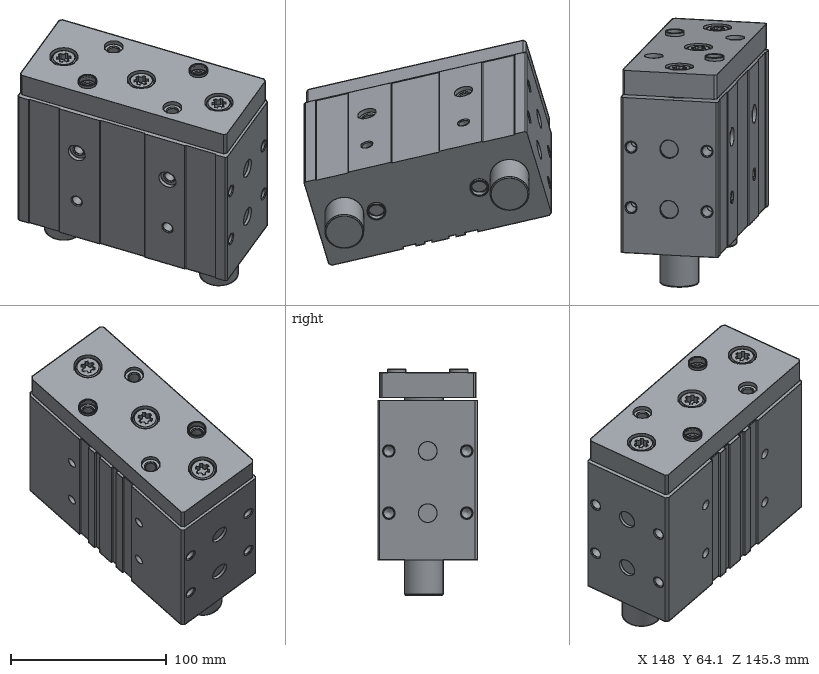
import cadquery as cq
import math

LENGTH = 148.0
DEPTH = 64.1
HOUSING_HEIGHT = 102.5
FRONT_CHAMFER = 1.0
REAR_CHAMFER = 1.8
FRONT_RECESS_DEPTH = 0.6
FRONT_RECESS_INNER_X = 44.3
FRONT_RECESS_OUTER_X = 66.3
MIDDLE_RECESS_HALF_WIDTH = 16.1
REAR_RECESS_DEPTH = 1.5
SENSOR_SLOT_X = 8.0
SENSOR_SLOT_WIDTH = 4.7
REAR_CHANNEL_X = 20.5
REAR_CHANNEL_WIDTH = 8.5
FRONT = -DEPTH / 2
REAR = DEPTH / 2

PLATE_LENGTH = 146.1
PLATE_DEPTH = 62.0
PLATE_THICKNESS = 16.0
PLATE_CHAMFER = 1.6
PLATE_GAP = 1.8
PLATE_BOTTOM = HOUSING_HEIGHT + PLATE_GAP
PLATE_TOP = PLATE_BOTTOM + PLATE_THICKNESS
PISTON_ROD_DIAMETER = 14.7
PISTON_ROD_ENGAGEMENT = 74.0
PISTON_ROD_END = HOUSING_HEIGHT - PISTON_ROD_ENGAGEMENT

ROD_DIAMETER = 25.0
ROD_X = 54.9
ROD_Y = -2.5
ROD_PROTRUSION = 22.8
ROD_CHAMFER = 0.7

CORE_DIAMETER = 6.7
MOUTH_DIAMETER = 8.0
MOUTH_CHAMFER = (MOUTH_DIAMETER - CORE_DIAMETER) / 2
LOWER_HOLE_Z = 30.0
HOLE_SPACING_Z = 40.0
UPPER_HOLE_Z = LOWER_HOLE_Z + HOLE_SPACING_Z
FRONT_HOLE_X = 32.1
SIDE_HOLE_Y = 25.0
SIDE_HOLE_DEPTH = 14.8
DRILL_POINT_ANGLE = 118.0
PLATE_HOLE_X = 30.0
PLATE_HOLE_Y = 20.0
PORT_DIAMETER = 12.0
PORT_DEPTH = 2.0

SLEEVE_DIAMETER = 12.0
SLEEVE_BORE = 10.4
SLEEVE_PROTRUSION = 2.2
SLEEVE_RECESS = 2.8
SLEEVE_HEIGHT = SLEEVE_PROTRUSION + SLEEVE_RECESS
SLEEVE_CHAMFER = 0.3
BOTTOM_SLEEVE_X = 34.2

HEAD_RECESS_DIAMETER = 18.0
HEAD_RECESS_DEPTH = 5.9
HEAD_DIAMETER = 16.0
HEAD_SINK = 0.7
HEAD_CHAMFER = 0.9
HEAD_TOP = PLATE_TOP - HEAD_SINK
HEAD_FLOOR = PLATE_TOP - HEAD_RECESS_DEPTH
STAR_LOBES = 6
STAR_TIP_RADIUS = 4.6
STAR_ROOT_RADIUS = 3.3
STAR_TIP_HALF_ANGLE = 12.0
STAR_DEPTH = 4.5


def cylinder(x, y, bottom, diameter, height):
    return cq.Workplane("XY", origin=(x, y, bottom)).circle(diameter / 2).extrude(height)


def threaded_hole(depth, pointed=False):
    """Cutter along +Z from the origin: chamfered mouth, core bore, optional drill point."""
    core = CORE_DIAMETER / 2
    mouth = MOUTH_DIAMETER / 2
    tip = core / math.tan(math.radians(DRILL_POINT_ANGLE / 2)) if pointed else 0
    profile = cq.Workplane("XZ").lineTo(mouth, 0).lineTo(core, MOUTH_CHAMFER).lineTo(core, depth)
    return profile.lineTo(0, depth + tip).close().revolve(360, (0, 0, 0), (0, 1, 0))


def aim_to_rear(cutter):
    """Turn a cutter that points along +Z so that it points along +Y."""
    return cutter.rotate((0, 0, 0), (1, 0, 0), -90)


def aim_to_right(cutter):
    """Turn a cutter that points along +Z so that it points along +X."""
    return cutter.rotate((0, 0, 0), (0, 1, 0), 90)


def front_recess(start, end):
    """Full-height shallow recess in the front face, with 45 degree side walls."""
    floor = FRONT + FRONT_RECESS_DEPTH
    points = [
        (start, FRONT),
        (start + FRONT_RECESS_DEPTH, floor),
        (end - FRONT_RECESS_DEPTH, floor),
        (end, FRONT),
    ]
    return cq.Workplane("XY").polyline(points).close().extrude(HOUSING_HEIGHT)


def rear_channel(x, width):
    """Full-height channel in the rear face."""
    outline = cq.Workplane("XY", origin=(x, REAR, 0)).rect(width, 2 * REAR_RECESS_DEPTH)
    return outline.extrude(HOUSING_HEIGHT)


def extruded_block():
    """Housing block with its front recesses and rear channels, before any drilling."""
    block = cq.Workplane("XY").rect(LENGTH, DEPTH).extrude(HOUSING_HEIGHT)
    block = block.faces("<Y").edges("|Z").chamfer(FRONT_CHAMFER)
    block = block.faces(">Y").edges("|Z").chamfer(REAR_CHAMFER)
    block = block.cut(front_recess(-FRONT_RECESS_OUTER_X, -FRONT_RECESS_INNER_X))
    block = block.cut(front_recess(-MIDDLE_RECESS_HALF_WIDTH, MIDDLE_RECESS_HALF_WIDTH))
    block = block.cut(front_recess(FRONT_RECESS_INNER_X, FRONT_RECESS_OUTER_X))
    for side in (-1, 1):
        block = block.cut(rear_channel(side * SENSOR_SLOT_X, SENSOR_SLOT_WIDTH))
        block = block.cut(rear_channel(side * REAR_CHANNEL_X, REAR_CHANNEL_WIDTH))
    return block


def cut_rod_bores(body):
    for x in (-ROD_X, ROD_X):
        body = body.cut(cylinder(x, ROD_Y, 0, ROD_DIAMETER, HOUSING_HEIGHT))
    return body.cut(
        cylinder(0, ROD_Y, PISTON_ROD_END, PISTON_ROD_DIAMETER, PISTON_ROD_ENGAGEMENT)
    )


def cut_front_holes(body):
    """Holes from front to rear, the upper pair starting in sleeve recesses."""
    through = aim_to_rear(threaded_hole(DEPTH))
    recess = aim_to_rear(cylinder(0, 0, 0, SLEEVE_DIAMETER, SLEEVE_RECESS))
    for x in (-FRONT_HOLE_X, FRONT_HOLE_X):
        body = body.cut(through.translate((x, FRONT, LOWER_HOLE_Z)))
        body = body.cut(recess.translate((x, FRONT, UPPER_HOLE_Z)))
        body = body.cut(through.translate((x, FRONT + SLEEVE_RECESS, UPPER_HOLE_Z)))
    return body


def cut_end_holes(body):
    """Blind threaded holes and port recesses, the same in both end faces."""
    hole = aim_to_right(threaded_hole(SIDE_HOLE_DEPTH, pointed=True))
    port = aim_to_right(cylinder(0, 0, 0, PORT_DIAMETER, PORT_DEPTH))
    for half_turn in (0, 180):
        for z in (LOWER_HOLE_Z, UPPER_HOLE_Z):
            cutters = [port.translate((-LENGTH / 2, 0, z))]
            for y in (-SIDE_HOLE_Y, SIDE_HOLE_Y):
                cutters.append(hole.translate((-LENGTH / 2, y, z)))
            for cutter in cutters:
                body = body.cut(cutter.rotate((0, 0, 0), (0, 0, 1), half_turn))
    return body


def make_housing():
    body = extruded_block()
    body = cut_rod_bores(body)
    body = cut_front_holes(body)
    body = cut_end_holes(body)
    for x in (-BOTTOM_SLEEVE_X, BOTTOM_SLEEVE_X):
        body = body.cut(cylinder(x, 0, 0, SLEEVE_DIAMETER, SLEEVE_RECESS))
    return body


def polar(radius, angle):
    return (radius * math.cos(math.radians(angle)), radius * math.sin(math.radians(angle)))


def star_socket():
    """Star-shaped cutter rising from the origin: convex tip arcs joined by hollow root arcs."""
    pitch = 360 / STAR_LOBES
    first_tip = 90
    outline = cq.Workplane("XY").moveTo(*polar(STAR_TIP_RADIUS, first_tip - STAR_TIP_HALF_ANGLE))
    for i in range(STAR_LOBES):
        tip = first_tip + i * pitch
        outline = outline.threePointArc(
            polar(STAR_TIP_RADIUS, tip), polar(STAR_TIP_RADIUS, tip + STAR_TIP_HALF_ANGLE)
        )
        outline = outline.threePointArc(
            polar(STAR_ROOT_RADIUS, tip + pitch / 2),
            polar(STAR_TIP_RADIUS, tip + pitch - STAR_TIP_HALF_ANGLE),
        )
    return outline.close().extrude(STAR_DEPTH)


def add_screw_head(plate, x):
    """Screw head with a star socket, standing in a round recess of the plate."""
    plate = plate.cut(cylinder(x, ROD_Y, HEAD_FLOOR, HEAD_RECESS_DIAMETER, HEAD_RECESS_DEPTH))
    head = cylinder(x, ROD_Y, HEAD_FLOOR, HEAD_DIAMETER, HEAD_TOP - HEAD_FLOOR)
    head = head.faces(">Z").edges().chamfer(HEAD_CHAMFER)
    head = head.cut(star_socket().translate((x, ROD_Y, HEAD_TOP - STAR_DEPTH)))
    return plate.union(head)


def make_plate():
    plate = cq.Workplane("XY", origin=(0, 0, PLATE_BOTTOM)).rect(PLATE_LENGTH, PLATE_DEPTH)
    plate = plate.extrude(PLATE_THICKNESS).edges("|Z").chamfer(PLATE_CHAMFER)
    hole = threaded_hole(PLATE_THICKNESS).rotate((0, 0, 0), (1, 0, 0), 180)
    recess_floor = PLATE_TOP - SLEEVE_RECESS
    for x in (-PLATE_HOLE_X, PLATE_HOLE_X):
        for y in (-PLATE_HOLE_Y, PLATE_HOLE_Y):
            plate = plate.cut(cylinder(x, y, recess_floor, SLEEVE_DIAMETER, SLEEVE_RECESS))
            plate = plate.cut(hole.translate((x, y, recess_floor)))
    for x in (-ROD_X, 0, ROD_X):
        plate = add_screw_head(plate, x)
    piston_rod_length = PLATE_BOTTOM - PISTON_ROD_END
    return plate.union(cylinder(0, ROD_Y, PISTON_ROD_END, PISTON_ROD_DIAMETER, piston_rod_length))


def make_guide_rod(x):
    """Rod from the underside of the plate through the housing, chamfered at its lower end."""
    rod = cylinder(x, ROD_Y, -ROD_PROTRUSION, ROD_DIAMETER, PLATE_BOTTOM + ROD_PROTRUSION)
    return rod.faces("<Z").edges().chamfer(ROD_CHAMFER)


def make_sleeve(x, y, bottom):
    """Centring ring with both rims chamfered inside and outside."""
    sleeve = cylinder(x, y, bottom, SLEEVE_DIAMETER, SLEEVE_HEIGHT)
    sleeve = sleeve.cut(cylinder(x, y, bottom, SLEEVE_BORE, SLEEVE_HEIGHT))
    return sleeve.edges("%CIRCLE").chamfer(SLEEVE_CHAMFER)


housing = make_housing()
plate = make_plate()

guide_rods = []
plate_sleeves = []
bottom_sleeves = []
for side in (-1, 1):
    guide_rods.append(make_guide_rod(side * ROD_X))
    plate_sleeves.append(
        make_sleeve(side * PLATE_HOLE_X, side * PLATE_HOLE_Y, PLATE_TOP - SLEEVE_RECESS)
    )
    bottom_sleeves.append(make_sleeve(side * BOTTOM_SLEEVE_X, 0, -SLEEVE_PROTRUSION))

bodies = [housing, plate, *guide_rods, *plate_sleeves, *bottom_sleeves]
result = cq.Compound.makeCompound([body.solids().val() for body in bodies])